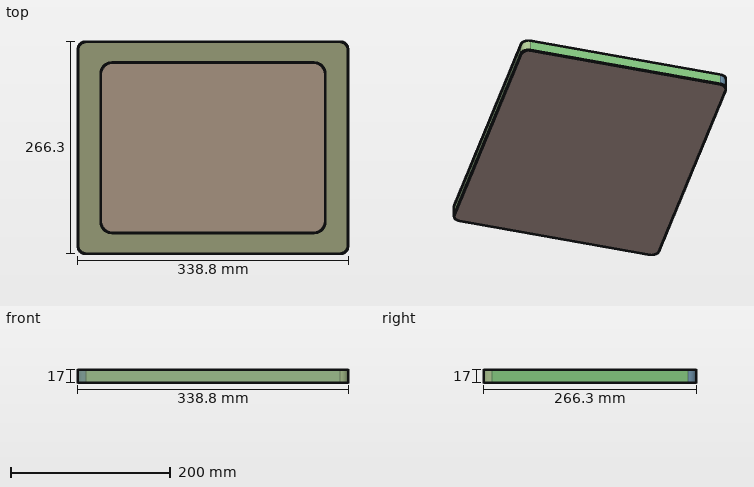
import cadquery as cq
import math

length = 338.8
width = 266.3
thickness = 17.0
corner_radius = 10.0
edge_chamfer = 0.88

side_margin = 28.5
end_margin = 26.0
recess_radius = 15.0
recess_depth = 2.0
wall_inset = 0.7


def rounded_outline(plane, size_x, size_y, radius):
    """Closed rectangle with rounded corners, centred on the plane's origin."""
    outline = cq.Sketch().rect(size_x, size_y).vertices().fillet(radius)
    return plane.placeSketch(outline)


def make_plate():
    """Round-cornered plate with chamfered top and bottom rims."""
    base = cq.Workplane("XY")
    block = rounded_outline(base, length, width, corner_radius).extrude(thickness)
    return block.faces("<Z or >Z").edges().chamfer(edge_chamfer)


def make_recess():
    """Cutter for the recess: it narrows evenly from the rim down to the floor."""
    top = cq.Workplane("XY", origin=(0, 0, thickness))
    rim_x = length - 2 * side_margin
    rim_y = width - 2 * end_margin
    wall_angle = math.degrees(math.atan2(wall_inset, recess_depth))
    rim = rounded_outline(top, rim_x, rim_y, recess_radius)
    return rim.extrude(-recess_depth, taper=wall_angle)


result = make_plate().cut(make_recess())